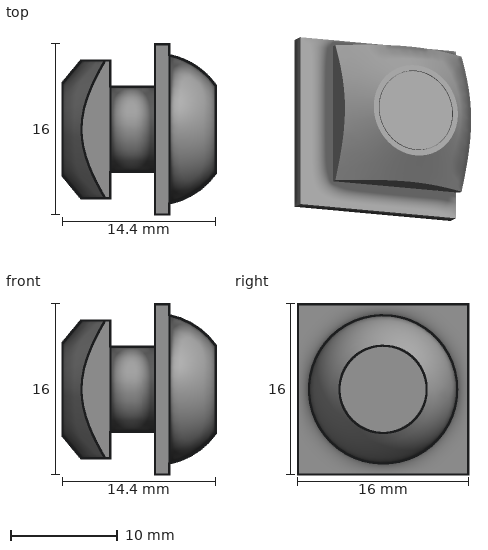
import cadquery as cq
import math

NUT_LENGTH = 4.51
THREAD_LENGTH = 7.49
WASHER_START = 8.69
WASHER_END = 10.03
TOTAL_LENGTH = 14.4

NUT_SIDE = 12.96
NUT_FACE_RADIUS = 4.32
NUT_CORNER_LAND = 0.5
NUT_CORNER_RADIUS = NUT_SIDE / math.sqrt(2)

WASHER_SIDE = 16.0
WASHER_HOLE_RADIUS = 4.24

SHANK_RADIUS = 4.0
GROOVE_OUTER_RADIUS = 3.8
GROOVE_INNER_RADIUS = 3.75
GROOVE_DEPTH = 0.16

DOME_BASE_RADIUS = 6.96
DOME_END_RADIUS = 4.1
DOME_HEIGHT = TOTAL_LENGTH - WASHER_END
DOME_CENTRE_OFFSET = (DOME_BASE_RADIUS**2 - DOME_END_RADIUS**2 - DOME_HEIGHT**2) / (2 * DOME_HEIGHT)
DOME_SPHERE_RADIUS = math.hypot(DOME_BASE_RADIUS, DOME_CENTRE_OFFSET)

AXIS_START = (0, 0, 0)
AXIS_END = (1, 0, 0)


def cylinder(radius, start, end):
    return cq.Workplane("YZ", origin=(start, 0, 0)).circle(radius).extrude(end - start)


def square_block(side, start, end):
    return cq.Workplane("YZ", origin=(start, 0, 0)).rect(side, side).extrude(end - start)


def make_nut():
    """Square block trimmed by a cone that runs out at the corners, bored for the screw."""
    cone = (
        cq.Workplane("XY")
        .moveTo(0, 0)
        .lineTo(0, NUT_FACE_RADIUS)
        .lineTo(NUT_LENGTH - NUT_CORNER_LAND, NUT_CORNER_RADIUS)
        .lineTo(NUT_LENGTH, NUT_CORNER_RADIUS)
        .lineTo(NUT_LENGTH, 0)
        .close()
        .revolve(360, AXIS_START, AXIS_END)
    )
    block = square_block(NUT_SIDE, 0, NUT_LENGTH)
    return block.intersect(cone).cut(cylinder(SHANK_RADIUS, 0, NUT_LENGTH))


def make_washer():
    plate = square_block(WASHER_SIDE, WASHER_START, WASHER_END)
    return plate.cut(cylinder(WASHER_HOLE_RADIUS, WASHER_START, WASHER_END))


def make_dome():
    middle_x = WASHER_END + DOME_HEIGHT / 2
    middle_radius = math.sqrt(DOME_SPHERE_RADIUS**2 - (DOME_CENTRE_OFFSET + DOME_HEIGHT / 2) ** 2)
    return (
        cq.Workplane("XY")
        .moveTo(WASHER_END, 0)
        .lineTo(WASHER_END, DOME_BASE_RADIUS)
        .threePointArc((middle_x, middle_radius), (TOTAL_LENGTH, DOME_END_RADIUS))
        .lineTo(TOTAL_LENGTH, 0)
        .close()
        .revolve(360, AXIS_START, AXIS_END)
    )


def make_groove():
    """Thin ring removed from the free end of the shank."""
    return cylinder(GROOVE_OUTER_RADIUS, 0, GROOVE_DEPTH).cut(cylinder(GROOVE_INNER_RADIUS, 0, GROOVE_DEPTH))


def make_screw():
    """Domed head on a shank whose surface is divided where the thread ends."""
    threaded_end = cylinder(SHANK_RADIUS, 0, THREAD_LENGTH).cut(make_groove())
    neck = cylinder(SHANK_RADIUS, THREAD_LENGTH, WASHER_END)
    return make_dome().union(neck, clean=False).union(threaded_end, clean=False)


nut = make_nut()
washer = make_washer()
screw = make_screw()

result = cq.Compound.makeCompound([nut.solids().val(), washer.solids().val(), screw.solids().val()])